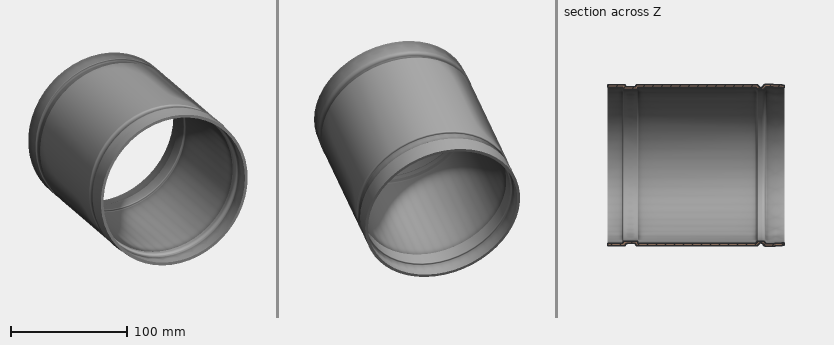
import cadquery as cq
import math

length = 152.4
pipe_radius = 139.8 / 2
wall = 2.6
bore_radius = pipe_radius - wall

groove_start = 15.4
groove_end = 24.2
groove_radius = 135.5 / 2
groove_lip_round = 0.5
groove_foot_round = 1.4
groove_end_foot_round = 0.6
groove_end_lip_round = 1.2

bead_start = 13.1
bead_end = 26.2
bead_radius = 130.5 / 2
bead_round = 0.8

flank_angle = math.radians(45)
flank_start = 128.0
flank_round = 1.7
root_radius = 134.5 / 2
root_end = 132.5
rise_join = 0.25

inner_flank_start = flank_start - wall * math.tan(flank_angle / 2)
inner_root_radius = 130.5 / 2
inner_root_end = 133.2
inner_rise_join = 0.7

flare_peak = 137.3
flare_radius = 140.4 / 2
lip_end_radius = 138.7 / 2


def trace_step(profile, x, from_radius, to_radius, first_round, last_round):
    """Square step at x, rounded at its first and last corners."""
    direction = math.copysign(1, to_radius - from_radius)
    return (
        profile.lineTo(x - first_round, from_radius)
        .tangentArcPoint((x, from_radius + direction * first_round), relative=False)
        .lineTo(x, to_radius - direction * last_round)
        .tangentArcPoint((x + last_round, to_radius), relative=False)
    )


def trace_vee(profile, start, start_radius, floor_radius, floor_end, join, peak_radius):
    """Rounded flank down to the root, then two tangent arcs up to the flare."""
    round_end = start + flank_round * math.sin(flank_angle)
    round_end_radius = start_radius - flank_round * (1 - math.cos(flank_angle))
    flank_run = (round_end_radius - floor_radius) / math.tan(flank_angle)
    join_x = floor_end + join * (flare_peak - floor_end)
    join_radius = floor_radius + join * (peak_radius - floor_radius)
    return (
        profile.lineTo(start, start_radius)
        .tangentArcPoint((round_end, round_end_radius), relative=False)
        .lineTo(round_end + flank_run, floor_radius)
        .lineTo(floor_end, floor_radius)
        .tangentArcPoint((join_x, join_radius), relative=False)
        .tangentArcPoint((flare_peak, peak_radius), relative=False)
    )


def revolve_profile(profile, end_radius):
    """Run the profile to the +X end, close it on the axis and turn it into a solid."""
    closed = profile.lineTo(length, end_radius).lineTo(length, 0).close()
    return closed.revolve(360, (0, 0, 0), (1, 0, 0))


def start_profile(radius):
    """Begin a profile on the axis at the -X end and go out to the given radius."""
    return cq.Workplane("XY").moveTo(0, 0).lineTo(0, radius)


def make_skin():
    profile = start_profile(pipe_radius)
    profile = trace_step(
        profile, groove_start, pipe_radius, groove_radius, groove_lip_round, groove_foot_round
    )
    profile = trace_step(
        profile, groove_end, groove_radius, pipe_radius, groove_end_foot_round, groove_end_lip_round
    )
    profile = trace_vee(
        profile, flank_start, pipe_radius, root_radius, root_end, rise_join, flare_radius
    )
    return revolve_profile(profile, lip_end_radius)


def make_bore():
    profile = start_profile(bore_radius)
    profile = trace_step(profile, bead_start, bore_radius, bead_radius, bead_round, bead_round)
    profile = trace_step(profile, bead_end, bead_radius, bore_radius, bead_round, bead_round)
    profile = trace_vee(
        profile,
        inner_flank_start,
        bore_radius,
        inner_root_radius,
        inner_root_end,
        inner_rise_join,
        flare_radius - wall,
    )
    return revolve_profile(profile, lip_end_radius - wall)


result = make_skin().cut(make_bore()).translate((-length / 2, 0, 0))